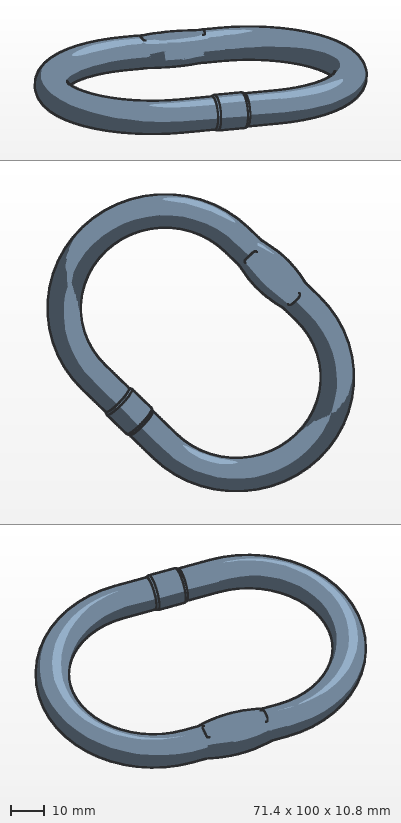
import cadquery as cq
import math

wire_radius = 5.0
bend_radius = 30.0
straight_length = 30.0
half_straight = straight_length / 2

sleeve_radius = 10.75 / 2
sleeve_length = 10.0
sleeve_taper_length = 0.85

pad_half_width = 6.0
pad_half_height = 4.4
pad_half_length = 11.0
pad_side_radius = 35.0
side_flat_half_height = 1.4
pad_edge_radius = pad_half_height - side_flat_half_height
blend_radius = 2.0
seam_tolerance = 0.01

label_half_length = 9.75
label_end_fillet = 0.55
label_depth = wire_radius - pad_half_height
label_clearance = 1.0


def make_ring():
    outer_end = half_straight + bend_radius
    path = (
        cq.Workplane("XY")
        .moveTo(bend_radius, -half_straight)
        .lineTo(bend_radius, half_straight)
        .threePointArc((0, outer_end), (-bend_radius, half_straight))
        .lineTo(-bend_radius, -half_straight)
        .threePointArc((0, -outer_end), (bend_radius, -half_straight))
        .close()
    )
    start = cq.Workplane("XZ", origin=(bend_radius, -half_straight, 0))
    return start.circle(wire_radius).sweep(path)


def make_sleeve():
    """Band with a short taper down to the wire at both ends."""
    half_length = sleeve_length / 2
    half_band = half_length - sleeve_taper_length
    return (
        cq.Workplane("XY", origin=(bend_radius, 0, 0))
        .moveTo(0, -half_length)
        .lineTo(wire_radius, -half_length)
        .lineTo(sleeve_radius, -half_band)
        .lineTo(sleeve_radius, half_band)
        .lineTo(wire_radius, half_length)
        .lineTo(0, half_length)
        .close()
        .revolve(360, (0, 0, 0), (0, 1, 0))
    )


def make_pad():
    """Barrel-shaped block whose ends are buried inside the wire."""
    side_rise = pad_side_radius - math.sqrt(pad_side_radius**2 - pad_half_length**2)
    end_half_width = pad_half_width - side_rise
    return (
        cq.Workplane("XY", origin=(-bend_radius, 0, 0))
        .moveTo(end_half_width, -pad_half_length)
        .threePointArc((pad_half_width, 0), (end_half_width, pad_half_length))
        .lineTo(-end_half_width, pad_half_length)
        .threePointArc((-pad_half_width, 0), (-end_half_width, -pad_half_length))
        .close()
        .extrude(pad_half_height, both=True)
        .edges("%CIRCLE")
        .fillet(pad_edge_radius)
    )


def make_label_cutter():
    """Material to clear above the upper label flat."""
    return (
        cq.Workplane("XY", origin=(-bend_radius, 0, pad_half_height))
        .rect(2 * wire_radius, 2 * label_half_length)
        .extrude(label_depth + label_clearance)
        .edges("<Z and |X")
        .fillet(label_end_fillet)
    )


def is_pad_end_seam(edge):
    """True for the edges where the sides of the pad run out into the wire."""
    middle = edge.positionAt(0.5)
    from_leg_axis = math.hypot(middle.x + bend_radius, middle.z)
    on_wire = abs(from_leg_axis - wire_radius) < seam_tolerance
    on_side = abs(middle.z) < pad_half_height - seam_tolerance
    return on_wire and on_side and abs(middle.y) < pad_half_length


def blend_pad_ends(body):
    seams = [edge for edge in body.edges().vals() if is_pad_end_seam(edge)]
    return body.newObject(seams).fillet(blend_radius)


label_cutter = make_label_cutter()
body = make_ring().union(make_sleeve()).union(make_pad())
body = blend_pad_ends(body)
result = body.cut(label_cutter).cut(label_cutter.mirror("XY"))